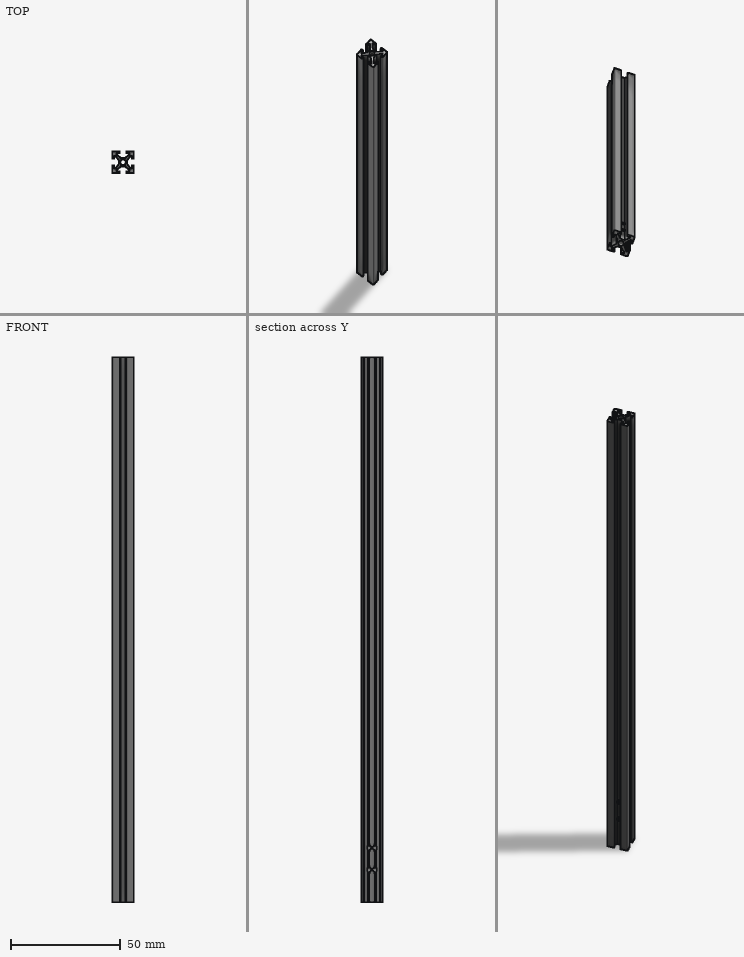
import cadquery as cq

SIDE = 10.0
LENGTH = 250.0

SLOT_OPENING = 3.0
LIP_THICKNESS = 0.9
UNDERCUT_WIDTH = 5.9
CORE_WIDTH = 4.0
FLOOR_WIDTH = 2.0
SHOULDER_DEPTH = 0.45
EDGE_RADIUS = 0.2

BORE_DIAMETER = 2.5
CROSS_HOLE_DIAMETER = 2.5
CROSS_HOLE_HEIGHTS = (15.0, 25.0)


def make_slot_cutter():
    """T-slot opening on the +Y side: a narrow mouth, then an undercut tapering to the floor."""
    outer_y = SIDE / 2
    lip_y = outer_y - LIP_THICKNESS
    shoulder_y = lip_y - SHOULDER_DEPTH
    floor_y = CORE_WIDTH / 2
    right_half = [
        (SLOT_OPENING / 2, outer_y),
        (SLOT_OPENING / 2, lip_y),
        (UNDERCUT_WIDTH / 2, lip_y),
        (UNDERCUT_WIDTH / 2, shoulder_y),
        (FLOOR_WIDTH / 2, floor_y),
    ]
    left_half = [(-x, y) for x, y in reversed(right_half)]
    return cq.Workplane("XY").polyline(right_half + left_half).close().extrude(LENGTH)


def round_outer_edges(bar):
    """Round every lengthwise edge that lies on the outer square: four corners and eight lips."""
    outer_faces = bar.faces("<X or >X or <Y or >Y")
    return outer_faces.edges("|Z").fillet(EDGE_RADIUS)


def make_profile_bar():
    """Square bar with a T-slot along each side and a round bore along its axis."""
    bar = cq.Workplane("XY").rect(SIDE, SIDE).extrude(LENGTH)
    slot = make_slot_cutter()
    for angle in (0, 90, 180, 270):
        bar = bar.cut(slot.rotate((0, 0, 0), (0, 0, 1), angle))
    bar = round_outer_edges(bar)
    bore = cq.Workplane("XY").circle(BORE_DIAMETER / 2).extrude(LENGTH)
    return bar.cut(bore)


def cut_cross_holes(bar):
    """Round holes through the bar along X, near its lower end."""
    for height in CROSS_HOLE_HEIGHTS:
        hole = (
            cq.Workplane("YZ", origin=(-SIDE / 2, 0, height))
            .circle(CROSS_HOLE_DIAMETER / 2)
            .extrude(SIDE)
        )
        bar = bar.cut(hole)
    return bar


result = cut_cross_holes(make_profile_bar())